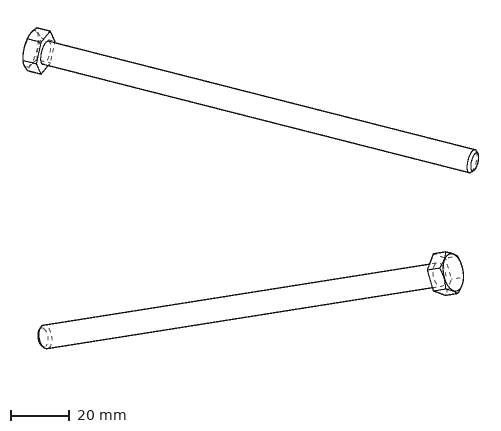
import cadquery as cq
import math

total_length = 165.7
head_height = 5.6
across_corners = 15.0
shank_diameter = 8.1
tip_chamfer_length = 1.0
tip_chamfer_depth = 0.8
head_face_diameter = 12.8
head_chamfer_angle = 30.0

head_chamfer_depth = (across_corners - head_face_diameter) / 2
head_chamfer_length = head_chamfer_depth * math.tan(math.radians(head_chamfer_angle))


def hex_head():
    """Hexagonal head with corners on +Y and -Y, its outer face chamfered by a cone."""
    prism = cq.Workplane("YZ").polygon(6, across_corners).extrude(head_height)
    envelope = (
        cq.Workplane("YZ")
        .circle(across_corners / 2)
        .extrude(head_height)
        .faces("<X")
        .chamfer(head_chamfer_length, head_chamfer_depth)
    )
    return prism.intersect(envelope)


def shank():
    """Round shank running from the head to a chamfered tip."""
    tip_radius = shank_diameter / 2 - tip_chamfer_depth
    profile = (
        cq.Workplane("XY")
        .lineTo(0, shank_diameter / 2)
        .lineTo(total_length - tip_chamfer_length, shank_diameter / 2)
        .lineTo(total_length, tip_radius)
        .lineTo(total_length, 0)
        .close()
    )
    return profile.revolve(360, (0, 0, 0), (1, 0, 0))


result = hex_head().union(shank())